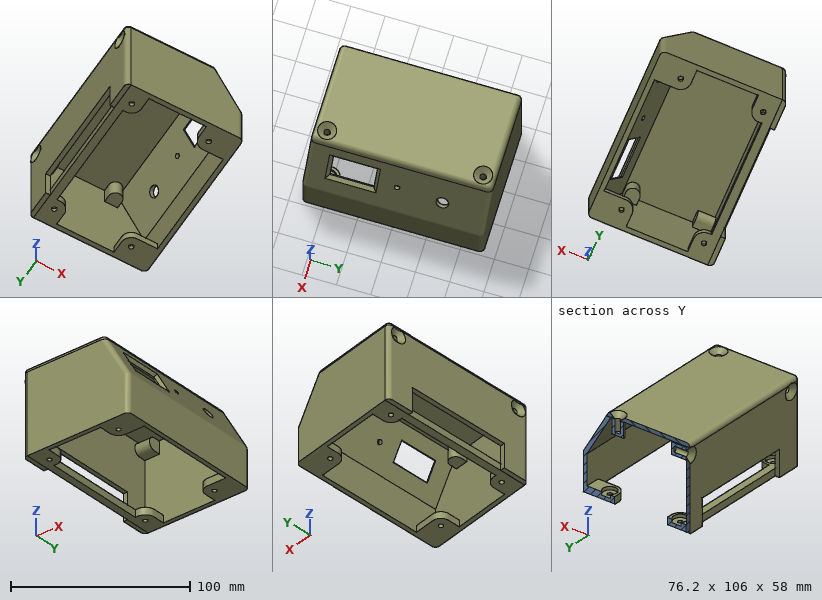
import cadquery as cq
import math

LENGTH_X = 76.2
LENGTH_Y = 106.0
HEIGHT = 58.0
WALL = 3.0
EDGE_RADIUS = WALL

TOP_DEPTH = 58.0
SLOPE_ANGLE = math.radians(60)
KNOB_HOLE_DIAMETER = 7.2
KNOB_HOLE_X = 68.2
KNOB_HOLE_Y = 26.6
LAMP_HOLE_DIAMETER = 3.0
LAMP_HOLE_X = 67.3
WINDOW_X = 66.9
WINDOW_Y = -26.0
WINDOW_WIDTH = 25.7
WINDOW_HEIGHT = 13.8
WINDOW_BEVEL = 2.0

SLOT_WIDTH = 69.5
SLOT_HEIGHT = 18.2

SCREW_DIAMETER = 3.5
COUNTERSINK_DIAMETER = 10.6
SCREW_INSET = 7.5
TOP_SCREW_X = 51.7
BOSS_RADIUS = 4.2
BOSS_LENGTH = 10.6
PILOT_DEPTH = 8.5

FLOOR_THICKNESS = 5.0
BAR_WIDTH = 5.0
PAD_RADIUS = 6.4
PAD_INSET_Y = 11.0
BACK_PAD_X = 10.0
FRONT_PAD_X = 60.0
MOUNT_HOLE_DIAMETER = 3.0
MOUNT_BORE_DIAMETER = 9.2
MOUNT_BORE_DEPTH = 2.2

SIDES = (-1, 1)
half_y = LENGTH_Y / 2
inner_half_y = half_y - WALL
inner_front = LENGTH_X - WALL
plate_z = HEIGHT - WALL
screw_y = half_y - SCREW_INSET
back_screw_z = HEIGHT - SCREW_INSET
pad_y = half_y - PAD_INSET_Y
slope_wall_x = WALL / math.sin(SLOPE_ANGLE)
slope_cut = 2 * WALL


def box(x_range, y_range, z_range):
    """Block between two X, two Y and two Z values."""
    sizes = [max(pair) - min(pair) for pair in (x_range, y_range, z_range)]
    corner = (min(x_range), min(y_range), min(z_range))
    return cq.Workplane("XY").box(*sizes, centered=False).translate(corner)


def slope_height(x):
    """Z of the flat sloped face at a given X."""
    return HEIGHT - (x - TOP_DEPTH) * math.tan(SLOPE_ANGLE)


def slope_plane(x, y):
    """Workplane lying on the sloped face, with its local X along the part's Y."""
    normal = (math.sin(SLOPE_ANGLE), 0, math.cos(SLOPE_ANGLE))
    return cq.Workplane(cq.Plane(origin=(x, y, slope_height(x)), xDir=(0, 1, 0), normal=normal))


def top_screw_plane(side):
    return cq.Workplane("XY", origin=(TOP_SCREW_X, side * screw_y, HEIGHT))


def back_screw_plane(side):
    origin = (0, side * screw_y, back_screw_z)
    return cq.Workplane(cq.Plane(origin=origin, xDir=(0, 1, 0), normal=(-1, 0, 0)))


def screw_planes():
    """Outward-facing workplanes on the outer surface at each of the four screws."""
    return [plane(side) for side in SIDES for plane in (top_screw_plane, back_screw_plane)]



def make_envelope():
    """Solid outer shape with rounded edges and countersinks, not yet hollow or divided."""
    block = (
        cq.Workplane("XZ")
        .lineTo(LENGTH_X, 0)
        .lineTo(LENGTH_X, slope_height(LENGTH_X))
        .lineTo(TOP_DEPTH, HEIGHT)
        .lineTo(0, HEIGHT)
        .close()
        .extrude(half_y, both=True)
    )
    block = block.edges("|Y").edges("not <Z").fillet(EDGE_RADIUS)
    for plane in screw_planes():
        countersink = (
            plane.circle(COUNTERSINK_DIAMETER / 2)
            .workplane(offset=-WALL)
            .circle(SCREW_DIAMETER / 2)
            .loft()
        )
        block = block.cut(countersink)
    return block.faces("<Y or >Y").edges("not <Z").fillet(EDGE_RADIUS)



def make_top_plate(envelope):
    zone = box((0, LENGTH_X), (-half_y, half_y), (plate_z, HEIGHT))
    return envelope.intersect(zone)



def make_back_plate(envelope):
    zone = box((0, WALL), (-half_y, half_y), (0, plate_z))
    slot = box((0, WALL), (-SLOT_WIDTH / 2, SLOT_WIDTH / 2), (0, SLOT_HEIGHT))
    return envelope.intersect(zone).cut(slot)



def make_walls(envelope):
    """Part of the envelope in front of the back plate and below the top plate, hollowed out."""
    zone = box((WALL, LENGTH_X), (-half_y, half_y), (0, plate_z))
    cavity = (
        cq.Workplane("XZ")
        .moveTo(WALL, 0)
        .lineTo(inner_front, 0)
        .lineTo(inner_front, slope_height(inner_front + slope_wall_x))
        .lineTo(TOP_DEPTH + WALL / math.tan(SLOPE_ANGLE) - slope_wall_x, plate_z)
        .lineTo(WALL, plate_z)
        .close()
        .extrude(inner_half_y, both=True)
    )
    return envelope.intersect(zone).cut(cavity)


def make_pad(center_x, wall_x, side):
    """Floor pad filling a corner, rounded about its mounting hole."""
    toward_middle = math.copysign(1, center_x - wall_x)
    free_x = center_x + toward_middle * PAD_RADIUS
    free_y = side * (pad_y - PAD_RADIUS)
    diagonal_reach = PAD_RADIUS * math.cos(math.radians(45))
    arc_middle = (center_x + toward_middle * diagonal_reach, side * (pad_y - diagonal_reach))
    return (
        cq.Workplane("XY")
        .moveTo(wall_x, side * inner_half_y)
        .lineTo(free_x, side * inner_half_y)
        .lineTo(free_x, side * pad_y)
        .threePointArc(arc_middle, (center_x, free_y))
        .lineTo(wall_x, free_y)
        .close()
        .extrude(FLOOR_THICKNESS)
    )


def add_floor(housing):
    """Bar along the back and four pads, each with a hole counterbored from above."""
    bar = box((WALL, WALL + BAR_WIDTH), (-inner_half_y, inner_half_y), (0, FLOOR_THICKNESS))
    housing = housing.union(bar)
    for side in SIDES:
        for center_x, wall_x in ((BACK_PAD_X, WALL), (FRONT_PAD_X, inner_front)):
            pad_top = cq.Workplane("XY", origin=(center_x, side * pad_y, FLOOR_THICKNESS))
            hole = pad_top.circle(MOUNT_HOLE_DIAMETER / 2).extrude(-FLOOR_THICKNESS)
            bore = pad_top.circle(MOUNT_BORE_DIAMETER / 2).extrude(-MOUNT_BORE_DEPTH)
            housing = housing.union(make_pad(center_x, wall_x, side)).cut(hole).cut(bore)
    return housing


def add_screw_bosses(housing):
    """Round-nosed bosses on the side walls, with blind pilot holes for the plate screws."""
    for side in SIDES:
        web_y = (side * screw_y, side * inner_half_y)
        top_web = box(
            (TOP_SCREW_X - BOSS_RADIUS, TOP_SCREW_X + BOSS_RADIUS), web_y, (plate_z - BOSS_LENGTH, plate_z)
        )
        back_web = box(
            (WALL, WALL + BOSS_LENGTH), web_y, (back_screw_z - BOSS_RADIUS, back_screw_z + BOSS_RADIUS)
        )
        housing = housing.union(top_web).union(back_web)
    for plane in screw_planes():
        seat = plane.workplane(offset=-WALL)
        housing = housing.union(seat.circle(BOSS_RADIUS).extrude(-BOSS_LENGTH))
    for plane in screw_planes():
        seat = plane.workplane(offset=-WALL)
        housing = housing.cut(seat.circle(SCREW_DIAMETER / 2).extrude(-PILOT_DEPTH))
    return housing


def cut_control_openings(housing):
    """Knob hole, lamp hole and bevelled display window, all square to the sloped face."""
    knob_hole = slope_plane(KNOB_HOLE_X, KNOB_HOLE_Y).circle(KNOB_HOLE_DIAMETER / 2).extrude(-slope_cut)
    lamp_hole = slope_plane(LAMP_HOLE_X, 0).circle(LAMP_HOLE_DIAMETER / 2).extrude(-slope_cut)
    window_plane = slope_plane(WINDOW_X, WINDOW_Y)
    window = window_plane.rect(WINDOW_WIDTH, WINDOW_HEIGHT).extrude(-slope_cut)
    bevel = (
        window_plane.rect(WINDOW_WIDTH + 2 * WINDOW_BEVEL, WINDOW_HEIGHT + 2 * WINDOW_BEVEL)
        .workplane(offset=-WINDOW_BEVEL)
        .rect(WINDOW_WIDTH, WINDOW_HEIGHT)
        .loft()
    )
    return housing.cut(knob_hole).cut(lamp_hole).cut(window).cut(bevel)


def make_housing(envelope):
    housing = add_floor(make_walls(envelope))
    housing = add_screw_bosses(housing)
    return cut_control_openings(housing)


outer_shape = make_envelope()
housing = make_housing(outer_shape)
top_plate = make_top_plate(outer_shape)
back_plate = make_back_plate(outer_shape)

result = cq.Compound.makeCompound([body.solids().val() for body in (housing, top_plate, back_plate)])